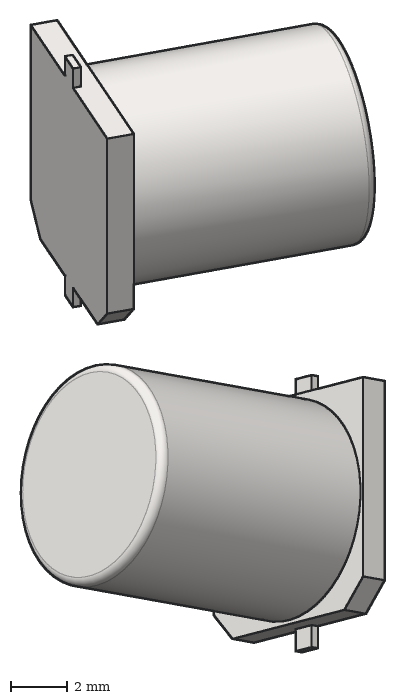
import cadquery as cq

length = 10.21
base_side = 8.3
height_over_tabs = 9.9

base_thickness = 1.0
corner_chamfer = 1.04

can_diameter = 8.0
can_end_fillet = 0.31

tab_width = 0.9
tab_thickness = 0.3

front_y = -length / 2
back_y = length / 2
base_back_y = front_y + base_thickness


def make_base():
    """Square plate with its two lower corners cut off."""
    plate = cq.Workplane("XY").box(base_side, base_thickness, base_side)
    plate = plate.edges("|Y and <Z").chamfer(corner_chamfer)
    return plate.translate((0, front_y + base_thickness / 2, 0))


def make_can():
    """Cylinder along Y with a rounded far end."""
    can = (
        cq.Workplane("XZ", origin=(0, back_y, 0))
        .circle(can_diameter / 2)
        .extrude(back_y - base_back_y)
    )
    return can.faces(">Y").edges().fillet(can_end_fillet)


def make_terminals():
    """Flat strip flush with the front face of the base, forming both tabs."""
    strip = cq.Workplane("XY").box(tab_width, tab_thickness, height_over_tabs)
    return strip.translate((0, front_y + tab_thickness / 2, 0))


result = make_base().union(make_can()).union(make_terminals())